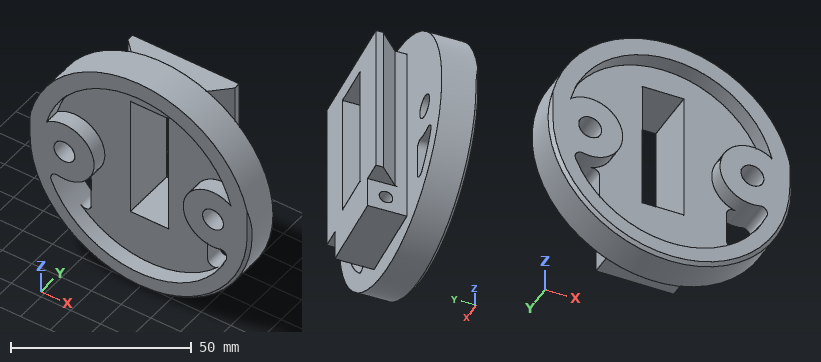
import cadquery as cq


disc_radius = 37.5
disc_thickness = 11.2
chamfer = 1.0

recess_radius = 32.0
recess_depth = 5.2
pad_offset = 25.0
pad_radius = 10.0
screw_hole_diameter = 7.0

window_inner_x = 19.6
corner_radius = 2.0

overall_depth = 22.93
block_width = 24.0
block_height = 60.0
wing_height = 50.0
wing_reach = 6.0
wing_lip = 2.25
wing_root_step = 0.15
wing_root_length = 0.6

pin_hole_diameter = 4.0
pin_above_block_bottom = 5.0
pin_from_back = 5.5

slot_width = 12.8
slot_height = 40.5
slot_center_z = 3.85


def front_to_back(y_start):
    """Sketch plane parallel to XZ at y_start; negative extrusions run toward +Y."""
    return cq.Workplane("XZ", origin=(0, y_start, 0))


def make_disc():
    """Disc whose front chamfer follows the lower rim and runs straight up from its ends."""
    disc = front_to_back(0).circle(disc_radius).extrude(-disc_thickness)
    envelope_top = 2 * disc_radius
    envelope = (
        front_to_back(0)
        .moveTo(-disc_radius, envelope_top)
        .lineTo(-disc_radius, 0)
        .threePointArc((0, -disc_radius), (disc_radius, 0))
        .lineTo(disc_radius, envelope_top)
        .close()
        .extrude(-disc_thickness)
        .faces("<Y")
        .chamfer(chamfer)
    )
    return disc.intersect(envelope)


def make_recess(depth):
    """Round pocket around the pads, before its corners are rounded."""
    pads = (
        front_to_back(0)
        .pushPoints([(-pad_offset, 0), (pad_offset, 0)])
        .circle(pad_radius)
        .extrude(-depth)
    )
    return front_to_back(0).circle(recess_radius).extrude(-depth).cut(pads)


def lower_cusp_edges(recess, depth):
    """Edges where the pads meet the recess wall below the pad centers."""
    cusp_x = (recess_radius**2 + pad_offset**2 - pad_radius**2) / (2 * pad_offset)
    cusp_z = -((recess_radius**2 - cusp_x**2) ** 0.5)
    tolerance = 0.1
    cusp_zone = cq.selectors.BoxSelector(
        (-cusp_x - tolerance, 0, cusp_z - tolerance),
        (cusp_x + tolerance, depth, cusp_z + tolerance),
    )
    return recess.edges("|Y").edges(cusp_zone)


def make_window(side):
    """Three-cornered opening between pad, recess wall and a vertical inner edge."""
    zone = (
        front_to_back(0)
        .center(side * (window_inner_x + recess_radius / 2), -recess_radius / 2)
        .rect(recess_radius, recess_radius)
        .extrude(-disc_thickness)
    )
    return make_recess(disc_thickness).intersect(zone).edges("|Y").fillet(corner_radius)


def make_mount():
    """Rear block with a dovetail wing on each side, flush at the top.

    Each wing narrows at 45 degrees, then more steeply over a short root that meets the block.
    """
    block = (
        front_to_back(disc_thickness)
        .rect(block_width, block_height)
        .extrude(disc_thickness - overall_depth)
    )
    root_x = block_width / 2
    tip_x = root_x + wing_reach
    lip_y = overall_depth - wing_lip
    slope_end_x = root_x + wing_root_step
    slope_end_y = lip_y - (tip_x - slope_end_x)
    root_y = slope_end_y - wing_root_length
    wings = (
        cq.Workplane("XY", origin=(0, 0, block_height / 2 - wing_height))
        .polyline(
            [
                (-tip_x, overall_depth),
                (-tip_x, lip_y),
                (-slope_end_x, slope_end_y),
                (-root_x, root_y),
                (root_x, root_y),
                (slope_end_x, slope_end_y),
                (tip_x, lip_y),
                (tip_x, overall_depth),
            ]
        )
        .close()
        .extrude(wing_height)
    )
    pin_hole = (
        cq.Workplane("YZ")
        .center(overall_depth - pin_from_back, pin_above_block_bottom - block_height / 2)
        .circle(pin_hole_diameter / 2)
        .extrude(block_width, both=True)
    )
    return block.union(wings).cut(pin_hole)


recess = make_recess(recess_depth)
recess = lower_cusp_edges(recess, recess_depth).fillet(corner_radius)

screw_holes = (
    front_to_back(0)
    .pushPoints([(-pad_offset, 0), (pad_offset, 0)])
    .circle(screw_hole_diameter / 2)
    .extrude(-disc_thickness)
)

slot = front_to_back(0).center(0, slot_center_z).rect(slot_width, slot_height).extrude(-overall_depth)

disc = make_disc().cut(recess).cut(screw_holes)
for side in (-1, 1):
    disc = disc.cut(make_window(side))

result = disc.union(make_mount()).cut(slot)